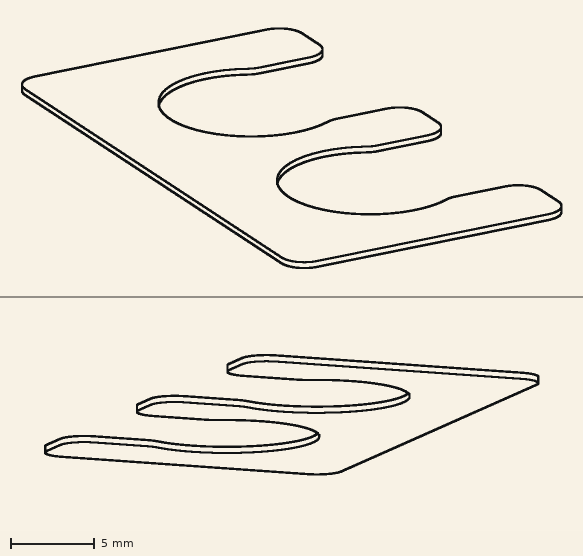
import cadquery as cq

plate_length = 34.92
plate_width = 19.05
plate_thickness = 0.4
corner_radius = 1.57

notch_pitch = 14.7
notch_radius = 5.6
notch_center_from_bottom = 10.83
throat_width = 9.65
throat_blend_radius = 1.57

bottom_y = -plate_width / 2
top_y = plate_width / 2
notch_center_y = bottom_y + notch_center_from_bottom
throat_depth = top_y - notch_center_y
throat_meet_height = (notch_radius**2 - (throat_width / 2) ** 2) ** 0.5
throat_meet_y = notch_center_y + throat_meet_height
selection_margin = 0.35


def keyhole_cutter(center_x):
    """Round notch with a narrower straight throat, blended where they meet."""
    round_part = (
        cq.Workplane("XY")
        .center(center_x, notch_center_y)
        .circle(notch_radius)
        .extrude(plate_thickness)
    )
    throat = (
        cq.Workplane("XY")
        .center(center_x, notch_center_y + throat_depth / 2)
        .rect(throat_width, throat_depth)
        .extrude(plate_thickness)
    )
    keyhole = round_part.union(throat)
    meeting_edges = cq.selectors.BoxSelector(
        (center_x - notch_radius, throat_meet_y - selection_margin, -plate_thickness),
        (center_x + notch_radius, throat_meet_y + selection_margin, 2 * plate_thickness),
    )
    return keyhole.edges("|Z").edges(meeting_edges).fillet(throat_blend_radius)


result = cq.Workplane("XY").rect(plate_length, plate_width).extrude(plate_thickness)
for center_x in (-notch_pitch / 2, notch_pitch / 2):
    result = result.cut(keyhole_cutter(center_x))

result = result.faces("<Y or >Y").edges("|Z").fillet(corner_radius)